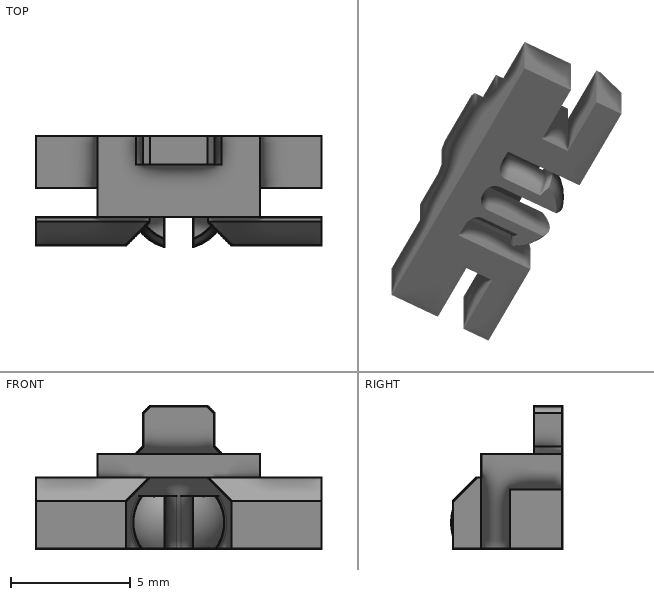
import cadquery as cq
import math

total_width = 12.0
total_height = 6.0
total_depth = 4.67

block_width = 6.84
block_depth = 3.41
block_height = 4.0
wing_depth = 2.2
wing_height = 2.5

tab_width = 3.0
tab_depth = 1.2
tab_chamfer = 0.3

plate_front = 4.6
plate_height = 3.0
plate_chamfer = 1.0

recess_width = 4.44
recess_floor = 1.2

stud_z = 1.1
stud_top = 2.22
neck_radius = 1.51
neck_end = 3.36
rim_radius = 1.91
rim_depth = 3.5
slot_width = 1.2
root_fillet = 0.5


def box(width, depth, height):
    """Box centred on X, with its back on Y = 0 and its base on Z = 0."""
    return cq.Workplane("XY").box(width, depth, height, centered=(True, False, False)).translate((0, -depth, 0))


def make_tab():
    half = tab_width / 2
    right_side = [
        (half + tab_chamfer, block_height),
        (half, block_height + tab_chamfer),
        (half, total_height - tab_chamfer),
        (half - tab_chamfer, total_height),
    ]
    left_side = [(-x, z) for x, z in reversed(right_side)]
    return cq.Workplane("XZ").polyline(right_side + left_side).close().extrude(tab_depth)


def make_plates():
    profile = [
        (-block_depth, 0),
        (-plate_front, 0),
        (-plate_front, plate_height - plate_chamfer),
        (-plate_front + plate_chamfer, plate_height),
        (-block_depth, plate_height),
    ]
    return cq.Workplane("YZ").polyline(profile).close().extrude(total_width / 2, both=True)


def make_recess():
    half = recess_width / 2
    shoulder = plate_height - plate_chamfer
    profile = [
        (-half, 0),
        (half, 0),
        (half, shoulder),
        (half - plate_chamfer, plate_height),
        (-half + plate_chamfer, plate_height),
        (-half, shoulder),
    ]
    return (
        cq.Workplane("XZ", origin=(0, -recess_floor, 0))
        .polyline(profile).close().extrude(plate_front - recess_floor)
    )


def make_slot():
    """Slot through the stud, with rounded corners at its root."""
    half = slot_width / 2
    return (
        cq.Workplane("XY")
        .moveTo(-half, -total_depth - slot_width)
        .lineTo(half, -total_depth - slot_width)
        .lineTo(half, -recess_floor - root_fillet)
        .radiusArc((half - root_fillet, -recess_floor), -root_fillet)
        .lineTo(root_fillet - half, -recess_floor)
        .radiusArc((-half, -recess_floor - root_fillet), -root_fillet)
        .close().extrude(stud_top)
    )


def make_stud():
    half_slot = slot_width / 2
    ball_depth = (
        total_depth**2 + half_slot**2 - rim_depth**2 - rim_radius**2
    ) / (2 * (total_depth - rim_depth))
    ball_radius = math.hypot(total_depth - ball_depth, half_slot)
    mid_radius = rim_radius / 2
    mid_depth = ball_depth + math.sqrt(ball_radius**2 - mid_radius**2)

    stud = (
        cq.Workplane("XY", origin=(0, 0, stud_z))
        .moveTo(0, -recess_floor)
        .lineTo(neck_radius + root_fillet, -recess_floor)
        .radiusArc((neck_radius, -recess_floor - root_fillet), -root_fillet)
        .lineTo(neck_radius, -neck_end)
        .lineTo(rim_radius, -rim_depth)
        .threePointArc((mid_radius, -mid_depth), (0, -ball_depth - ball_radius))
        .close().revolve(360, (0, 0, 0), (0, 1, 0))
    )
    flats = box(total_width, total_depth + slot_width, stud_top)
    return stud.intersect(flats).cut(make_slot())


body = (
    box(block_width, block_depth, block_height)
    .union(box(total_width, wing_depth, wing_height))
    .union(make_tab())
    .union(make_plates())
)
result = body.cut(make_recess()).union(make_stud())